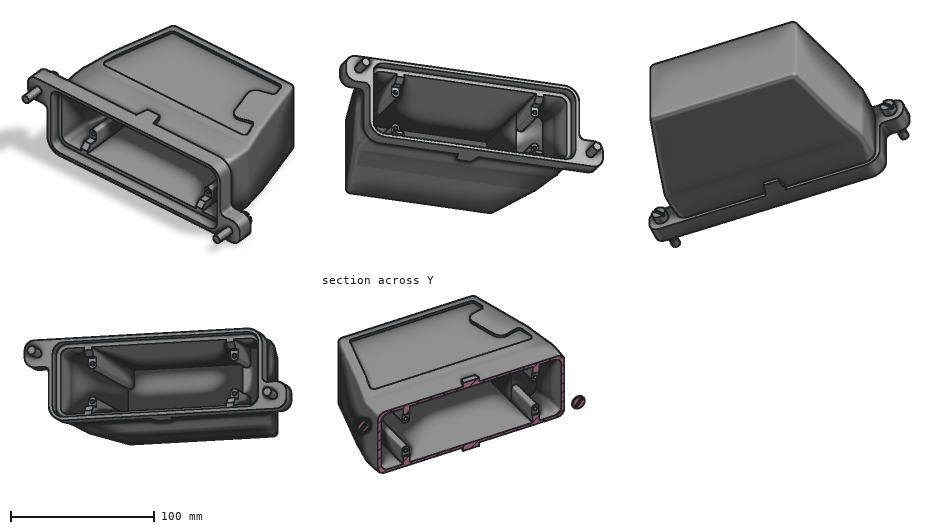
import cadquery as cq
import math


FLANGE_HALF_X = 78.3
HALF_Z = 29.0
FLANGE_T = 12.0
FLANGE_R = 11.3
EAR_REACH = 96.0
EAR_H = 19.2
EAR_R = 7.5
EAR_ROOT_R = 3.8
TAB_TOP_Y = 21.9
TAB_ROOT_W = 15.5
TAB_TOP_W = 11.0

SCREW_X = 86.4
SCREW_Z = HALF_Z - EAR_H / 2
PIN_D = 6.0
PIN_TIP_Y = -14.0
HEAD_D = 10.0
HEAD_H = 6.3
SLOT_W = 1.7
SLOT_DEPTH = 1.7
SLOT_ANGLE = -45

BACK_Y = 110.4
BASE_HALF_X = 75.0
BASE_HALF_Z = 26.1
TAPER_ANGLE = 15
TAPER = math.tan(math.radians(TAPER_ANGLE))
SIDE_KINK_Y = 35.0
FACE_KINK_LOW_Y = 36.5
FACE_KINK_HIGH_Y = 57.0
SIDE_KINK_R = 11.1
FACE_KINK_R = 7.7
EDGE_R = 4.0
SKIRT_TOP_Y = 33.5
SKIRT_ROOT_R = 8.3
SKIRT_STEPS = 4

RIM_HALF_X = 75.5
RIM_HALF_Z = 26.5
RIM_R = 8.3
RIM_DEPTH = 8.5
CAVITY_HALF_X = 72.2
CAVITY_HALF_Z = 23.5
CAVITY_R = 5.8
CAVITY_BACK_Y = 105.2
STEP_X = 49.0
STEP_Y = 47.2

POST_X = 52.0
POST_W = 5.8
POST_TIP_Z = 10.0
POST_TIP_R = 2.7
POST_FACE_Y = 18.5
POST_RAMP_Z = 17.5
POST_FOOT_Z = 21.5
POST_HOLE_D = 2.9
POST_HOLE_Z = 13.5
POST_HOLE_DEPTH = 11.5
POST_OVERLAP = 2.0

PANEL_FLOOR_Z = 27.0
PANEL_BACK_Y = 102.7
PANEL_FRONT_Y = 43.5
PANEL_MARGIN = 7.3
PANEL_R = 2.9
PAD_LENGTH = 34.4
PAD_CENTER_Y = 76.6
PAD_REACH = 25.5
PAD_R = 7.0


def side_x(y):
    """Half width of the tapered part of the shell at depth y."""
    return BASE_HALF_X - (y - SIDE_KINK_Y) * TAPER


def box(x0, x1, y0, y1, z0, z1):
    return cq.Workplane("XY").box(x1 - x0, y1 - y0, z1 - z0, centered=False).translate((x0, y0, z0))


def round_rod(x, z, diameter, y0, y1):
    return cq.Workplane(cq.Plane((x, y0, z), (1, 0, 0), (0, 1, 0))).circle(diameter / 2).extrude(y1 - y0)


def turn_half(shape):
    """The same feature at the diagonally opposite corner."""
    return shape.rotate((0, 0, 0), (0, 1, 0), 180)


def make_flange():
    ear = box(-EAR_REACH, 0, 0, FLANGE_T, HALF_Z - EAR_H, HALF_Z).edges("|Y and <X").fillet(EAR_R)
    plate = box(-FLANGE_HALF_X, FLANGE_HALF_X, 0, FLANGE_T, -HALF_Z, HALF_Z)
    for corner_x, corner_z in ((1, 1), (-1, -1)):
        corner = (corner_x * FLANGE_HALF_X, FLANGE_T / 2, corner_z * HALF_Z)
        plate = plate.edges(cq.NearestToPointSelector(corner)).fillet(FLANGE_R)
    plate = plate.union(ear).union(turn_half(ear))
    for sign in (1, -1):
        root = (-sign * FLANGE_HALF_X, FLANGE_T / 2, sign * (HALF_Z - EAR_H))
        plate = plate.edges(cq.NearestToPointSelector(root)).fillet(EAR_ROOT_R)
    tabs = (
        cq.Workplane("XY")
        .polyline([
            (-TAB_ROOT_W / 2, FLANGE_T),
            (TAB_ROOT_W / 2, FLANGE_T),
            (TAB_TOP_W / 2, TAB_TOP_Y),
            (-TAB_TOP_W / 2, TAB_TOP_Y),
        ])
        .close()
        .extrude(HALF_Z, both=True)
    )
    return plate.union(tabs)


def make_upper_shell():
    back_x = side_x(BACK_Y)
    plan = (
        cq.Workplane("XY")
        .polyline([
            (-BASE_HALF_X, SKIRT_TOP_Y),
            (BASE_HALF_X, SKIRT_TOP_Y),
            (BASE_HALF_X, SIDE_KINK_Y),
            (back_x, BACK_Y),
            (-back_x, BACK_Y),
            (-BASE_HALF_X, SIDE_KINK_Y),
        ])
        .close()
        .extrude(HALF_Z, both=True)
    )
    for sign in (1, -1):
        kink = (sign * BASE_HALF_X, SIDE_KINK_Y, 0)
        plan = plan.edges(cq.NearestToPointSelector(kink)).fillet(SIDE_KINK_R)
    profile = (
        cq.Workplane("YZ")
        .polyline([
            (SKIRT_TOP_Y, -BASE_HALF_Z),
            (FACE_KINK_LOW_Y, -BASE_HALF_Z),
            (FACE_KINK_HIGH_Y, -HALF_Z),
            (BACK_Y, -HALF_Z),
            (BACK_Y, HALF_Z),
            (FACE_KINK_HIGH_Y, HALF_Z),
            (FACE_KINK_LOW_Y, BASE_HALF_Z),
            (SKIRT_TOP_Y, BASE_HALF_Z),
        ])
        .close()
        .extrude(BASE_HALF_X, both=True)
    )
    for y, z in ((FACE_KINK_LOW_Y, BASE_HALF_Z), (FACE_KINK_HIGH_Y, HALF_Z)):
        for sign in (1, -1):
            profile = profile.edges(cq.NearestToPointSelector((0, y, sign * z))).fillet(FACE_KINK_R)
    shell = plan.intersect(profile)
    outer_edges = shell.edges("not <Y").edges("not (|X and (not >Y))").edges("not (|Z and (not >Y))")
    return outer_edges.fillet(EDGE_R)


def make_skirt():
    """Straight base of the shell whose corner radius grows smoothly towards the flange."""
    height = SKIRT_TOP_Y - FLANGE_T
    sections = []
    for step in range(SKIRT_STEPS + 1):
        drop = step / SKIRT_STEPS
        radius = EDGE_R + (SKIRT_ROOT_R - EDGE_R) * drop**3
        section = (
            cq.Sketch().rect(2 * BASE_HALF_X, 2 * BASE_HALF_Z).vertices().fillet(radius)
            .moved(cq.Location(cq.Plane((0, SKIRT_TOP_Y - drop * height, 0), (1, 0, 0), (0, -1, 0))))
        )
        sections.append(section)
    return cq.Workplane("XY").placeSketch(*sections).loft()


def make_cavity():
    rim = box(-RIM_HALF_X, RIM_HALF_X, 0, RIM_DEPTH, -RIM_HALF_Z, RIM_HALF_Z).edges("|Y").fillet(RIM_R)
    back_x = CAVITY_HALF_X - (CAVITY_BACK_Y - SIDE_KINK_Y) * TAPER
    step_side_x = CAVITY_HALF_X - (STEP_Y - SIDE_KINK_Y) * TAPER
    room = (
        cq.Workplane("XY")
        .polyline([
            (-CAVITY_HALF_X, RIM_DEPTH),
            (CAVITY_HALF_X, RIM_DEPTH),
            (CAVITY_HALF_X, SIDE_KINK_Y),
            (step_side_x, STEP_Y),
            (STEP_X, STEP_Y),
            (STEP_X, CAVITY_BACK_Y),
            (-back_x, CAVITY_BACK_Y),
            (-CAVITY_HALF_X, SIDE_KINK_Y),
        ])
        .close()
        .extrude(CAVITY_HALF_Z, both=True)
    )
    straight_mid_y = (RIM_DEPTH + SIDE_KINK_Y) / 2
    corner_points = []
    for z in (CAVITY_HALF_Z, -CAVITY_HALF_Z):
        corner_points += [
            (-CAVITY_HALF_X, straight_mid_y, z),
            (CAVITY_HALF_X, straight_mid_y, z),
            (-(CAVITY_HALF_X + back_x) / 2, (SIDE_KINK_Y + CAVITY_BACK_Y) / 2, z),
            ((CAVITY_HALF_X + step_side_x) / 2, (SIDE_KINK_Y + STEP_Y) / 2, z),
        ]
    corners = cq.Workplane("XY")
    for point in corner_points:
        corners = corners.add(room.edges(cq.NearestToPointSelector(point)).val())
    room = room.newObject(corners.vals()).fillet(CAVITY_R)
    return rim.union(room)


def make_post(x_sign, z_sign):
    """Post with a blind screw hole, sunk into the cavity walls by POST_OVERLAP."""
    root_z = CAVITY_HALF_Z + POST_OVERLAP
    tip = (
        box(-POST_W / 2, POST_W / 2, POST_FACE_Y, CAVITY_BACK_Y + POST_OVERLAP, POST_TIP_Z, root_z)
        .edges("|Y and <Z")
        .fillet(POST_TIP_R)
    )
    foot = (
        cq.Workplane("YZ")
        .polyline([
            (RIM_DEPTH, root_z),
            (RIM_DEPTH, POST_FOOT_Z),
            (RIM_DEPTH + POST_FOOT_Z - POST_RAMP_Z, POST_RAMP_Z),
            (POST_FACE_Y, POST_RAMP_Z),
            (POST_FACE_Y, root_z),
        ])
        .close()
        .extrude(POST_W / 2, both=True)
    )
    hole = round_rod(0, POST_HOLE_Z, POST_HOLE_D, POST_FACE_Y, POST_FACE_Y + POST_HOLE_DEPTH)
    post = tip.union(foot).cut(hole)
    if z_sign < 0:
        post = post.mirror("XY")
    return post.translate((x_sign * POST_X, 0, 0))


def make_panel():
    back_x = side_x(PANEL_BACK_Y) - PANEL_MARGIN
    front_x = side_x(PANEL_FRONT_Y) - PANEL_MARGIN
    panel = (
        cq.Workplane("XY", origin=(0, 0, PANEL_FLOOR_Z))
        .polyline([
            (-front_x, PANEL_FRONT_Y),
            (front_x, PANEL_FRONT_Y),
            (back_x, PANEL_BACK_Y),
            (-back_x, PANEL_BACK_Y),
        ])
        .close()
        .extrude(HALF_Z - PANEL_FLOOR_Z)
        .edges("|Z")
        .fillet(PANEL_R)
    )
    pad = (
        box(-PAD_REACH, PAD_REACH, -PAD_LENGTH / 2, PAD_LENGTH / 2, 0, HALF_Z)
        .edges("|Z and <X")
        .fillet(PAD_R)
        .rotate((0, 0, 0), (0, 0, 1), TAPER_ANGLE)
        .translate((side_x(PAD_CENTER_Y), PAD_CENTER_Y, 0))
    )
    panel = panel.cut(pad)
    for sign in (1, -1):
        y = PAD_CENTER_Y + sign * PAD_LENGTH / 2 * math.cos(math.radians(TAPER_ANGLE))
        corner = (side_x(y) - PANEL_MARGIN, y, (PANEL_FLOOR_Z + HALF_Z) / 2)
        panel = panel.edges("|Z").edges(cq.NearestToPointSelector(corner)).fillet(PANEL_R)
    return panel


def make_screw():
    pin = round_rod(-SCREW_X, SCREW_Z, PIN_D, PIN_TIP_Y, FLANGE_T)
    head = round_rod(-SCREW_X, SCREW_Z, HEAD_D, FLANGE_T, FLANGE_T + HEAD_H)
    slot = (
        cq.Workplane("XY")
        .box(2 * HEAD_D, SLOT_DEPTH, SLOT_W)
        .rotate((0, 0, 0), (0, 1, 0), SLOT_ANGLE)
        .translate((-SCREW_X, FLANGE_T + HEAD_H - SLOT_DEPTH / 2, SCREW_Z))
    )
    return pin.union(head.cut(slot))


body = make_flange().union(make_skirt()).union(make_upper_shell())
body = body.cut(make_cavity()).cut(make_panel())
for x_sign in (1, -1):
    for z_sign in (1, -1):
        body = body.union(make_post(x_sign, z_sign))
screw = make_screw()
result = body.union(screw).union(turn_half(screw))